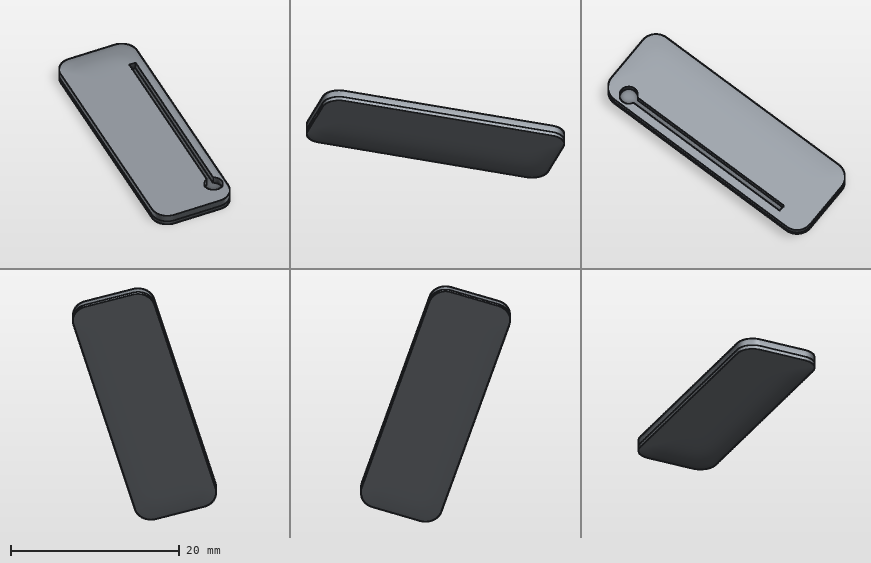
import cadquery as cq

length = 30.0
width = 10.0
corner_radius = 2.0

total_thickness = 1.4
cover_thickness = 0.9
base_thickness = total_thickness - cover_thickness

hole_x = 12.0
hole_y = 3.5
hole_diameter = 2.2
channel_width = 0.8
channel_start_x = -11.1


def rounded_plate(bottom_z, thickness):
    """Flat rectangular plate with rounded vertical corners."""
    return (
        cq.Workplane("XY", origin=(0, 0, bottom_z))
        .rect(length, width)
        .extrude(thickness)
        .edges("|Z")
        .fillet(corner_radius)
    )


def keyhole_opening():
    """Cutting shape for the channel and round hole, as tall as the cover."""
    channel_length = hole_x - channel_start_x
    channel_center_x = (hole_x + channel_start_x) / 2
    level = cq.Workplane("XY", origin=(0, 0, base_thickness))
    channel = (
        level.center(channel_center_x, hole_y)
        .rect(channel_length, channel_width)
        .extrude(cover_thickness)
    )
    hole = (
        cq.Workplane("XY", origin=(hole_x, hole_y, base_thickness))
        .circle(hole_diameter / 2)
        .extrude(cover_thickness)
    )
    return channel.union(hole)


base = rounded_plate(0, base_thickness)

cover = rounded_plate(base_thickness, cover_thickness).cut(keyhole_opening())

result = cq.Compound.makeCompound([base.val(), cover.val()])